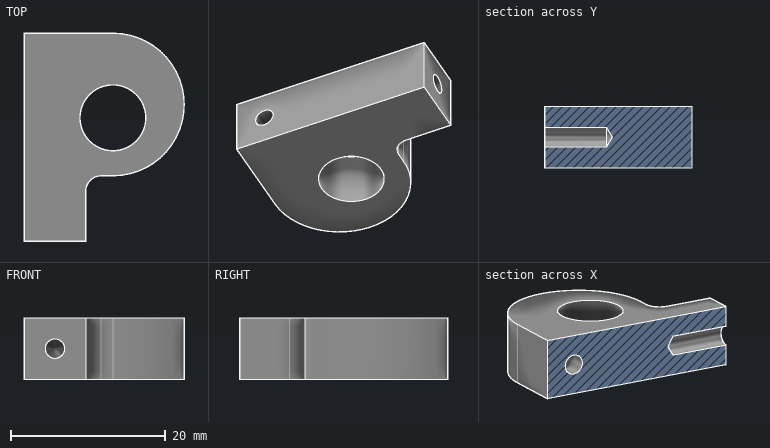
import cadquery as cq
import math

length = 27.0
thickness = 8.0
stem_width = 8.0
eye_radius = 9.25
eye_center_x = 11.5
eye_center_y = length - eye_radius
eye_bottom_y = length - 2 * eye_radius
corner_radius = 2.0

bore_diameter = 8.5
bore_center_y = 16.0

hole_diameter = 2.5
hole_depth = 8.0
drill_point_angle = 118.0
hole_inset = 4.0


def make_body():
    """Extrude the P-shaped outline, then round its inside corner."""
    outline = (
        cq.Workplane("XY")
        .lineTo(stem_width, 0)
        .lineTo(stem_width, eye_bottom_y)
        .lineTo(eye_center_x, eye_bottom_y)
        .threePointArc(
            (eye_center_x + eye_radius, eye_center_y),
            (eye_center_x, length),
        )
        .lineTo(0, length)
        .close()
    )
    inside_corner = cq.selectors.NearestToPointSelector((stem_width, eye_bottom_y, thickness / 2))
    return outline.extrude(thickness).edges(inside_corner).fillet(corner_radius)


def make_drill(mouth_center, direction):
    """Build the volume of one blind hole, running inward along direction."""
    mouth = cq.Vector(*mouth_center)
    inward = cq.Vector(*direction)
    hole_radius = hole_diameter / 2
    point_depth = hole_radius / math.tan(math.radians(drill_point_angle / 2))
    shank = cq.Solid.makeCylinder(hole_radius, hole_depth, mouth, inward)
    point = cq.Solid.makeCone(hole_radius, 0, point_depth, mouth + inward * hole_depth, inward)
    return cq.Workplane(obj=shank.fuse(point))


bore = cq.Workplane("XY").center(eye_center_x, bore_center_y).circle(bore_diameter / 2).extrude(thickness)
end_hole = make_drill((hole_inset, 0, thickness / 2), (0, 1, 0))
side_hole = make_drill((0, length - hole_inset, thickness / 2), (1, 0, 0))

result = make_body().cut(bore).cut(end_hole).cut(side_hole)